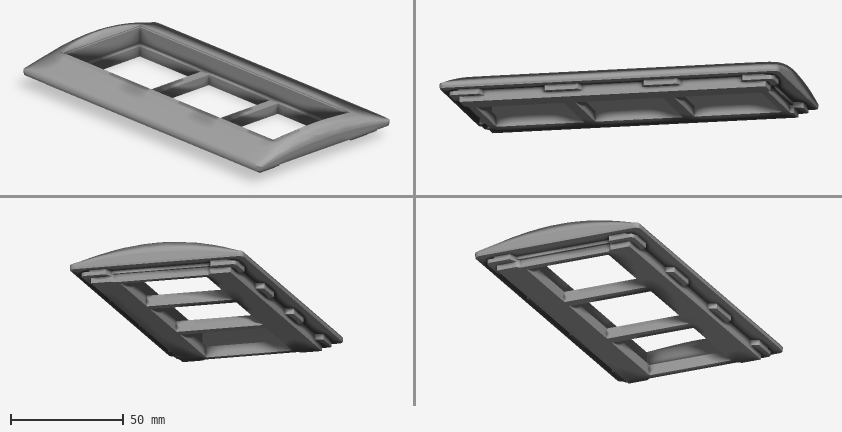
import cadquery as cq

LENGTH = 155.8
WIDTH = 81.3
CROWN_HEIGHT = 11.4
EDGE_HEIGHT = 2.6
CORNER_RADIUS = 2.8
RIM_UNDERCUT = 0.2
LONG_EDGE_INSET = 1.4
LONG_EDGE_BULGE = 0.23

WALL_TOP_CENTRE = 4.2
WALL_TOP_EDGE = 1.0
ROUNDING_TOP_CENTRE = 8.3
ROUNDING_TOP_EDGE = 2.3
ROUNDING_INSET = 1.5
ROUNDING_BULGE = 0.39
SHOULDER_INSET = 3.5
CREST_INSET = 7.0
SHOULDER_RUNOUT = 15.5
FLAT_HALF_LENGTH = 45.0

OPENING_HALF_X = 67.9
OPENING_HALF_Y = 22.6
STEP_WIDTH = 1.0
STEP_HEIGHT = 7.6
LIP_HEIGHT = 8.0
LIP_WIDTH_LONG = 2.6
LIP_WIDTH_CORNER = 1.2
LIP_WIDTH_CENTRE = 3.0
LIP_CENTRE_HEIGHT = 10.9
LIP_BULGE = 0.3
LIP_CLEARANCE = 7.8

FRAME_LENGTH = 140.2
FRAME_WIDTH = 65.1
FRAME_DEPTH = 5.0
COLLAR_HEIGHT = 3.1
WINDOW_SIZE = 40.2
WINDOW_PITCH = 45.3
WINDOW_COUNT = 3

TAB_SPAN_X = 148.3
TAB_SPAN_Y = 72.3
TAB_THICKNESS = 2.5
TAB_LENGTH = 18.0
TAB_SLANT = 1.5
CORNER_TAB_LENGTH_X = 15.3
CORNER_TAB_LENGTH_Y = 13.2
CORNER_TAB_RADIUS = 2.0
CORNER_RELIEF = 4.4
CORNER_RELIEF_DEPTH = 0.8

RECESS_LENGTH = 46.4
RECESS_DEPTH = 1.4
RECESS_ROOF = 1.4

LIP_HALF_X = OPENING_HALF_X + STEP_WIDTH
LIP_HALF_Y = OPENING_HALF_Y + STEP_WIDTH


def centred_block(length, width, bottom, top):
    return cq.Workplane("XY").workplane(offset=bottom).rect(length, width).extrude(top - bottom)


def mirrored_to_corners(shape):
    other_end = shape.mirror("YZ")
    return [shape, other_end, shape.mirror("XZ"), other_end.mirror("XZ")]


def dome_height(y):
    share = (2 * y / WIDTH) ** 2
    return CROWN_HEIGHT + (EDGE_HEIGHT - CROWN_HEIGHT) * share


def dome_section(y, wall_top, rounding_top, crest):
    """Closed wire of the dome in the plane at the given y."""
    end = LENGTH / 2

    def side_edges(side):
        def at(x, z):
            return cq.Vector(side * x, y, z)

        rounding_middle = at(
            end - ROUNDING_INSET / 2 + ROUNDING_BULGE,
            (wall_top + rounding_top) / 2 + ROUNDING_BULGE,
        )
        rounding = cq.Edge.makeThreePointArc(
            at(end, wall_top), rounding_middle, at(end - ROUNDING_INSET, rounding_top)
        )
        control_insets = [SHOULDER_INSET, CREST_INSET, SHOULDER_RUNOUT, end - FLAT_HALF_LENGTH]
        top = cq.Edge.makeBezier([
            at(end - ROUNDING_INSET, rounding_top),
            *[at(end - inset, crest) for inset in control_insets],
        ])
        wall = cq.Edge.makeLine(at(end, 0), at(end, wall_top))
        return [wall, rounding, top]

    crown = cq.Edge.makeLine(
        cq.Vector(FLAT_HALF_LENGTH, y, crest), cq.Vector(-FLAT_HALF_LENGTH, y, crest)
    )
    base = cq.Edge.makeLine(cq.Vector(-end, y, 0), cq.Vector(end, y, 0))
    return cq.Wire.assembleEdges([*side_edges(1), crown, *reversed(side_edges(-1)), base])


def dome():
    edge_y = WIDTH / 2
    sections = [
        dome_section(-edge_y, WALL_TOP_EDGE, ROUNDING_TOP_EDGE, EDGE_HEIGHT),
        dome_section(0, WALL_TOP_CENTRE, ROUNDING_TOP_CENTRE, CROWN_HEIGHT),
        dome_section(edge_y, WALL_TOP_EDGE, ROUNDING_TOP_EDGE, EDGE_HEIGHT),
    ]
    loft = cq.Workplane(cq.Solid.makeLoft(sections))
    outline = centred_block(LENGTH, WIDTH, 0, 2 * CROWN_HEIGHT).edges("|Z").fillet(CORNER_RADIUS)
    outline = outline.faces("<Z").chamfer(WALL_TOP_EDGE, RIM_UNDERCUT)
    return loft.intersect(outline).intersect(long_edge_envelope())


def long_edge_envelope():
    """Prism along X that holds the whole dome but rounds its two long edges."""
    edge_y = WIDTH / 2
    rounded_y = edge_y - LONG_EDGE_INSET
    rounded_z = dome_height(rounded_y)
    middle_y = edge_y - LONG_EDGE_INSET / 2 + LONG_EDGE_BULGE
    middle_z = (WALL_TOP_EDGE + rounded_z) / 2 + LONG_EDGE_BULGE
    peak = 4 * CROWN_HEIGHT
    return (
        cq.Workplane("YZ")
        .moveTo(-edge_y, 0)
        .lineTo(edge_y, 0)
        .lineTo(edge_y, WALL_TOP_EDGE)
        .threePointArc((middle_y, middle_z), (rounded_y, rounded_z))
        .lineTo(0, peak)
        .lineTo(-rounded_y, rounded_z)
        .threePointArc((-middle_y, middle_z), (-edge_y, WALL_TOP_EDGE))
        .close()
        .extrude(LENGTH / 2, both=True)
    )


def long_lip_cutter():
    """Flattens the dome beside the long side of the opening at +Y."""
    outer_y = LIP_HALF_Y + LIP_WIDTH_LONG
    top = LIP_HEIGHT + LIP_CLEARANCE
    return (
        cq.Workplane("YZ")
        .polyline([
            (LIP_HALF_Y, LIP_HEIGHT),
            (outer_y, dome_height(outer_y)),
            (outer_y, top),
            (LIP_HALF_Y, top),
        ])
        .close()
        .extrude(LIP_HALF_X + LIP_WIDTH_CORNER, both=True)
    )


def end_lip_section(y, width, height):
    """Closed wire of the end lip cutter in the plane at the given y."""
    outer_x = LIP_HALF_X + width
    top = LIP_HEIGHT + LIP_CLEARANCE
    inner = cq.Vector(LIP_HALF_X, y, LIP_HEIGHT)
    outer = cq.Vector(outer_x, y, height)
    middle = (inner + outer) * 0.5 + cq.Vector(-LIP_BULGE, 0, LIP_BULGE)
    outer_top = cq.Vector(outer_x, y, top)
    inner_top = cq.Vector(LIP_HALF_X, y, top)
    return cq.Wire.assembleEdges([
        cq.Edge.makeThreePointArc(inner, middle, outer),
        cq.Edge.makeLine(outer, outer_top),
        cq.Edge.makeLine(outer_top, inner_top),
        cq.Edge.makeLine(inner_top, inner),
    ])


def end_lip_cutter():
    """Rounds the dome down to the short side of the opening at +X."""
    outer_y = LIP_HALF_Y + LIP_WIDTH_LONG
    corner_height = dome_height(outer_y)
    return cq.Workplane(cq.Solid.makeLoft([
        end_lip_section(-outer_y, LIP_WIDTH_CORNER, corner_height),
        end_lip_section(0, LIP_WIDTH_CENTRE, LIP_CENTRE_HEIGHT),
        end_lip_section(outer_y, LIP_WIDTH_CORNER, corner_height),
    ]))


def make_cover():
    cover = dome()
    cover = cover.cut(centred_block(2 * OPENING_HALF_X, 2 * OPENING_HALF_Y, 0, 2 * CROWN_HEIGHT))
    cover = cover.cut(centred_block(2 * LIP_HALF_X, 2 * LIP_HALF_Y, STEP_HEIGHT, 2 * CROWN_HEIGHT))
    long_lip = long_lip_cutter()
    end_lip = end_lip_cutter()
    for cutter in (long_lip, long_lip.mirror("XZ"), end_lip, end_lip.mirror("YZ")):
        cover = cover.cut(cutter)
    return cover.cut(centred_block(FRAME_LENGTH, FRAME_WIDTH, 0, COLLAR_HEIGHT))


def tab(centre_x):
    """Trapezoidal tab on the +Y side of the frame."""
    inner_y = FRAME_WIDTH / 2
    outer_y = TAB_SPAN_Y / 2
    half = TAB_LENGTH / 2
    return (
        cq.Workplane("XY")
        .polyline([
            (centre_x - half, inner_y),
            (centre_x - half + TAB_SLANT, outer_y),
            (centre_x + half - TAB_SLANT, outer_y),
            (centre_x + half, inner_y),
        ])
        .close()
        .extrude(-TAB_THICKNESS)
    )


def corner_tab():
    """Tab around the frame corner at +X +Y, bevelled across the corner at its top."""
    frame_x = FRAME_LENGTH / 2
    frame_y = FRAME_WIDTH / 2
    outer_x = TAB_SPAN_X / 2
    outer_y = TAB_SPAN_Y / 2
    start_x = outer_x - CORNER_TAB_LENGTH_X
    start_y = outer_y - CORNER_TAB_LENGTH_Y
    body = (
        cq.Workplane("XY")
        .polyline([
            (start_x, frame_y),
            (start_x + TAB_SLANT, outer_y),
            (outer_x, outer_y),
            (outer_x, start_y + TAB_SLANT),
            (frame_x, start_y),
            (start_x, start_y),
        ])
        .close()
        .extrude(-TAB_THICKNESS)
    )
    corner = cq.selectors.NearestToPointSelector((outer_x, outer_y, -TAB_THICKNESS / 2))
    body = body.edges("|Z").edges(corner).fillet(CORNER_TAB_RADIUS)
    relief = (
        cq.Workplane("XY")
        .polyline([
            (outer_x - CORNER_RELIEF, outer_y),
            (outer_x, outer_y - CORNER_RELIEF),
            (outer_x, outer_y),
        ])
        .close()
        .extrude(-CORNER_RELIEF_DEPTH)
    )
    return body.cut(relief)


def end_recess():
    """Recess with slanted sides in the end wall at +X, open at the bottom."""
    face_x = FRAME_LENGTH / 2
    half = RECESS_LENGTH / 2
    return (
        cq.Workplane("XY")
        .workplane(offset=-FRAME_DEPTH)
        .polyline([
            (face_x, -half),
            (face_x - RECESS_DEPTH, -half + RECESS_DEPTH),
            (face_x - RECESS_DEPTH, half - RECESS_DEPTH),
            (face_x, half),
        ])
        .close()
        .extrude(FRAME_DEPTH - RECESS_ROOF)
    )


def make_frame():
    frame = centred_block(FRAME_LENGTH, FRAME_WIDTH, -FRAME_DEPTH, COLLAR_HEIGHT)
    for piece in mirrored_to_corners(corner_tab()):
        frame = frame.union(piece)
    for piece in mirrored_to_corners(tab(WINDOW_PITCH / 2)):
        frame = frame.union(piece)

    frame = frame.cut(centred_block(2 * OPENING_HALF_X, 2 * OPENING_HALF_Y, 0, COLLAR_HEIGHT))
    windows = (
        cq.Workplane("XY")
        .workplane(offset=-FRAME_DEPTH)
        .rarray(WINDOW_PITCH, 1.5, WINDOW_COUNT, 1)
        .rect(WINDOW_SIZE, WINDOW_SIZE)
        .extrude(FRAME_DEPTH)
    )
    frame = frame.cut(windows)
    recess = end_recess()
    return frame.cut(recess).cut(recess.mirror("YZ"))


cover = make_cover()
frame = make_frame()

result = cq.Compound.makeCompound([cover.solids().val(), frame.solids().val()])